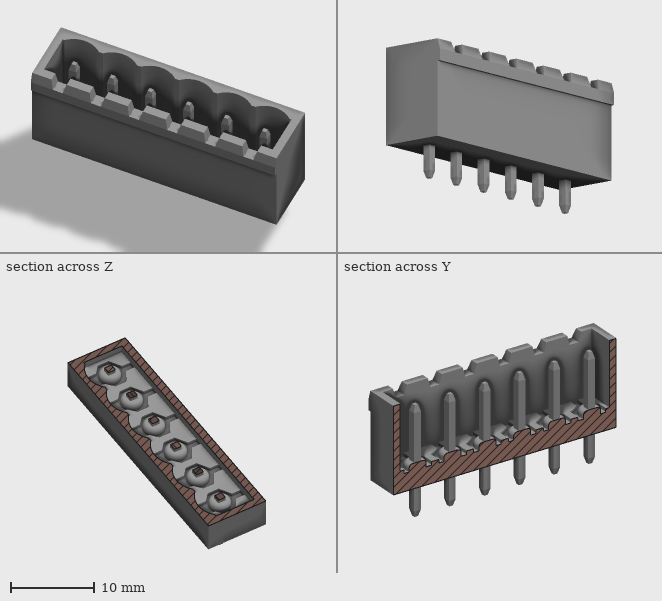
import cadquery as cq
import math


PIN_COUNT = 6
PIN_PITCH = 5.07
PIN_X = [(i - (PIN_COUNT - 1) / 2) * PIN_PITCH for i in range(PIN_COUNT)]

LENGTH = 32.48
DEPTH = 8.12
HEIGHT = 12.02
BACK_Y = 3.8
FRONT_Y = BACK_Y - DEPTH

LIP_PROJECTION = 0.4
LIP_HEIGHT = 2.75
LIP_SLOPE_HEIGHT = 1.3
LIP_Y = FRONT_Y - LIP_PROJECTION

FRONT_WALL = 1.1
BACK_WALL = 1.7
BAY_DEPTH = 0.9
BAY_CHORD = 4.55
FLOOR_THICKNESS = 3.0
CAVITY_LENGTH = PIN_COUNT * PIN_PITCH
CAVITY_FRONT_Y = FRONT_Y + FRONT_WALL
CAVITY_BACK_Y = BACK_Y - BACK_WALL
BAY_BACK_Y = CAVITY_BACK_Y + BAY_DEPTH
BAY_RADIUS = (BAY_CHORD**2 / 4 + BAY_DEPTH**2) / (2 * BAY_DEPTH)

NOTCH_TOP_WIDTH = 2.0
NOTCH_BOTTOM_WIDTH = 1.3
NOTCH_DEPTH = LIP_SLOPE_HEIGHT

RECESS_DEPTH = 0.5
RECESS_BACK_HALF = 1.05
RECESS_MIDDLE_HALF = 2.05
RECESS_FRONT_HALF = 0.5
RECESS_BACK_SHOULDER_Y = 1.3
RECESS_MIDDLE_BACK_Y = 0.45
RECESS_MIDDLE_FRONT_Y = -1.07
RECESS_FRONT_SHOULDER_Y = -2.0
RECESS_FLOOR_Z = FLOOR_THICKNESS - RECESS_DEPTH

BOSS_DIAMETER = 2.75
BOSS_HEIGHT = 1.0
BOSS_ROUNDING = 0.52

PIN_WIDTH = 1.0
PIN_END_WIDTH = 0.52
PIN_TAPER = 0.9
PIN_TAIL = 4.0
PIN_TOP_GAP = 0.97
PIN_BOTTOM_Z = -PIN_TAIL
PIN_TOP_Z = HEIGHT - PIN_TOP_GAP


def make_block():
    """Housing block and lip, as one side profile extruded along X."""
    profile = [
        (BACK_Y, 0),
        (BACK_Y, HEIGHT),
        (FRONT_Y, HEIGHT),
        (LIP_Y, HEIGHT - LIP_SLOPE_HEIGHT),
        (LIP_Y, HEIGHT - LIP_HEIGHT),
        (FRONT_Y, HEIGHT - LIP_HEIGHT),
        (FRONT_Y, 0),
    ]
    return cq.Workplane("YZ").polyline(profile).close().extrude(LENGTH / 2, both=True)


def make_cavity():
    """Space inside the housing: a long pocket whose back edge is a row of arcs."""
    half_length = CAVITY_LENGTH / 2
    outline = (
        cq.Workplane("XY", origin=(0, 0, FLOOR_THICKNESS))
        .moveTo(-half_length, CAVITY_FRONT_Y)
        .lineTo(-half_length, CAVITY_BACK_Y)
    )
    for x in PIN_X:
        outline = outline.lineTo(x - BAY_CHORD / 2, CAVITY_BACK_Y).threePointArc(
            (x, BAY_BACK_Y), (x + BAY_CHORD / 2, CAVITY_BACK_Y)
        )
    return (
        outline.lineTo(half_length, CAVITY_BACK_Y)
        .lineTo(half_length, CAVITY_FRONT_Y)
        .close()
        .extrude(HEIGHT - FLOOR_THICKNESS)
    )


def make_notch(x):
    """Tapered notch through the front wall in line with a pin."""
    bottom_z = HEIGHT - NOTCH_DEPTH
    return (
        cq.Workplane("XZ", origin=(x, CAVITY_FRONT_Y, 0))
        .moveTo(-NOTCH_TOP_WIDTH / 2, HEIGHT)
        .lineTo(-NOTCH_BOTTOM_WIDTH / 2, bottom_z)
        .lineTo(NOTCH_BOTTOM_WIDTH / 2, bottom_z)
        .lineTo(NOTCH_TOP_WIDTH / 2, HEIGHT)
        .close()
        .extrude(CAVITY_FRONT_Y - LIP_Y)
    )


def make_recess(x):
    """Floor recess from the front wall, around the pin, to the rounded bay."""
    bay_side_y = BAY_BACK_Y - BAY_RADIUS + math.sqrt(BAY_RADIUS**2 - RECESS_BACK_HALF**2)
    right_side = [
        (RECESS_FRONT_HALF, CAVITY_FRONT_Y),
        (RECESS_FRONT_HALF, RECESS_FRONT_SHOULDER_Y),
        (RECESS_MIDDLE_HALF, RECESS_MIDDLE_FRONT_Y),
        (RECESS_MIDDLE_HALF, RECESS_MIDDLE_BACK_Y),
        (RECESS_BACK_HALF, RECESS_BACK_SHOULDER_Y),
        (RECESS_BACK_HALF, bay_side_y),
    ]
    left_side = [(-px, py) for px, py in reversed(right_side)]
    return (
        cq.Workplane("XY", origin=(x, 0, RECESS_FLOOR_Z))
        .polyline(right_side)
        .threePointArc((0, BAY_BACK_Y), left_side[0])
        .polyline(left_side, includeCurrent=False)
        .close()
        .extrude(RECESS_DEPTH)
    )


def make_boss(x):
    """Round boss with a rounded rim, standing on the recess floor."""
    return (
        cq.Workplane("XY", origin=(x, 0, RECESS_FLOOR_Z))
        .circle(BOSS_DIAMETER / 2)
        .extrude(BOSS_HEIGHT)
        .faces(">Z")
        .edges()
        .fillet(BOSS_ROUNDING)
    )


def make_pin(x):
    """Square pin with a tapered tip at both ends."""
    shank_bottom_z = PIN_BOTTOM_Z + PIN_TAPER
    shank_top_z = PIN_TOP_Z - PIN_TAPER
    shank = (
        cq.Workplane("XY", origin=(x, 0, shank_bottom_z))
        .rect(PIN_WIDTH, PIN_WIDTH)
        .extrude(shank_top_z - shank_bottom_z)
    )
    for shank_z, end_z in ((shank_bottom_z, PIN_BOTTOM_Z), (shank_top_z, PIN_TOP_Z)):
        tip = (
            cq.Workplane("XY", origin=(x, 0, shank_z))
            .rect(PIN_WIDTH, PIN_WIDTH)
            .workplane(offset=end_z - shank_z)
            .rect(PIN_END_WIDTH, PIN_END_WIDTH)
            .loft(ruled=True)
        )
        shank = shank.union(tip)
    return shank


def make_housing(pins):
    """Housing with its cavity and a fitting hole for each pin."""
    body = make_block().cut(make_cavity())
    for x, pin in zip(PIN_X, pins):
        body = body.cut(make_notch(x)).cut(make_recess(x)).union(make_boss(x)).cut(pin)
    return body


pins = [make_pin(x) for x in PIN_X]
housing = make_housing(pins)

result = cq.Compound.makeCompound([housing.val(), *[pin.val() for pin in pins]])